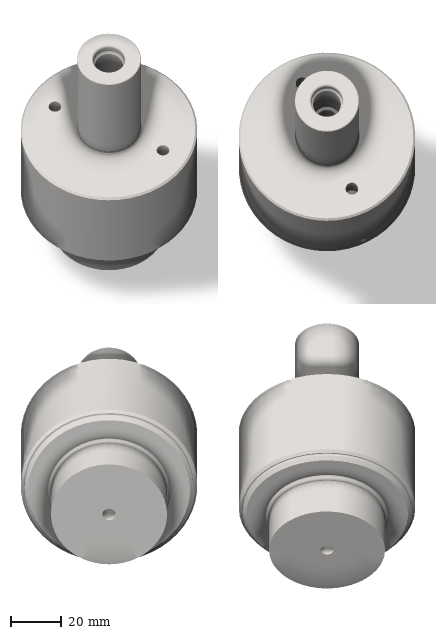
import cadquery as cq

total_height = 109.0
spigot_height = 19.0
body_top = 63.0

spigot_radius = 46.0 / 2
ring_section_radius = 1.3
ring_center_height = spigot_height - ring_section_radius

body_radius = 70.0 / 2
body_top_chamfer = 0.8
body_bottom_chamfer = 1.0
lip_radius = 67.0 / 2
lip_height = 2.4
lip_chamfer = 1.4

shaft_radius = 25.4 / 2
shaft_chamfer = 0.3
relief_radius = 25.1 / 2
relief_top = body_top + 1.85
relief_taper_height = 0.4
root_flare = 0.5

entry_radius = 12.5 / 2
entry_depth = 3.1
entry_rounding = 1.0
entry_step_height = 1.0
bore_radius = 11.0 / 2
bore_depth = 25.0
seat_radius = 9.0 / 2
seat_chamfer = 0.3
seat_depth = 35.0
through_radius = 5.2 / 2

pin_hole_diameter = 5.0
pin_hole_depth = 10.0
pin_hole_offset = 24.0

dimple_radius = 3.2 / 2
dimple_depth = 1.0
dimple_height = 27.0


def revolve_profile(profile):
    """Turn a closed profile in the XZ plane about the Z axis."""
    return profile.close().revolve(360, (0, 0, 0), (0, 1, 0))


def make_spigot():
    spigot = cq.Workplane("XY").circle(spigot_radius).extrude(spigot_height)
    ring = cq.Workplane("XZ").center(spigot_radius, ring_center_height).circle(ring_section_radius)
    return spigot.union(ring.revolve(360, (-spigot_radius, 0, 0), (-spigot_radius, 1, 0)))


def make_body():
    lip_top = spigot_height + lip_height
    profile = (
        cq.Workplane("XZ")
        .moveTo(0, spigot_height)
        .lineTo(lip_radius - lip_chamfer, spigot_height)
        .lineTo(lip_radius, spigot_height + lip_chamfer)
        .lineTo(lip_radius, lip_top)
        .lineTo(body_radius - body_bottom_chamfer, lip_top)
        .lineTo(body_radius, lip_top + body_bottom_chamfer)
        .lineTo(body_radius, body_top - body_top_chamfer)
        .lineTo(body_radius - body_top_chamfer, body_top)
        .lineTo(0, body_top)
    )
    return revolve_profile(profile)


def make_shaft():
    profile = (
        cq.Workplane("XZ")
        .moveTo(0, body_top)
        .lineTo(relief_radius + root_flare, body_top)
        .lineTo(relief_radius, body_top + root_flare)
        .lineTo(relief_radius, relief_top - relief_taper_height)
        .lineTo(shaft_radius, relief_top)
        .lineTo(shaft_radius, total_height - shaft_chamfer)
        .lineTo(shaft_radius - shaft_chamfer, total_height)
        .lineTo(0, total_height)
    )
    return revolve_profile(profile)


def make_stepped_bore():
    """Rounded entry, conical step to the main bore, seat and through hole."""
    bore_bottom = total_height - bore_depth
    seat_bottom = total_height - seat_depth
    profile = (
        cq.Workplane("XZ")
        .lineTo(through_radius, 0)
        .lineTo(through_radius, seat_bottom)
        .lineTo(seat_radius - seat_chamfer, seat_bottom)
        .lineTo(seat_radius - seat_chamfer, bore_bottom - seat_chamfer)
        .lineTo(seat_radius, bore_bottom)
        .lineTo(bore_radius, bore_bottom)
        .lineTo(bore_radius, total_height - entry_depth - entry_step_height)
        .lineTo(entry_radius, total_height - entry_depth)
        .lineTo(entry_radius, total_height - entry_rounding)
        .radiusArc((entry_radius + entry_rounding, total_height), entry_rounding)
        .lineTo(0, total_height)
    )
    return revolve_profile(profile)


def make_pin_holes():
    return (
        cq.Workplane("XY", origin=(0, 0, body_top))
        .pushPoints([(-pin_hole_offset, 0), (pin_hole_offset, 0)])
        .circle(pin_hole_diameter / 2)
        .extrude(-pin_hole_depth)
    )


def make_dimple():
    mouth = cq.Vector(-body_radius, 0, dimple_height)
    cone = cq.Solid.makeCone(dimple_radius, 0, dimple_depth, mouth, cq.Vector(1, 0, 0))
    return cq.Workplane(obj=cone)


result = make_spigot().union(make_body()).union(make_shaft())
for cutter in (make_stepped_bore(), make_pin_holes(), make_dimple()):
    result = result.cut(cutter)